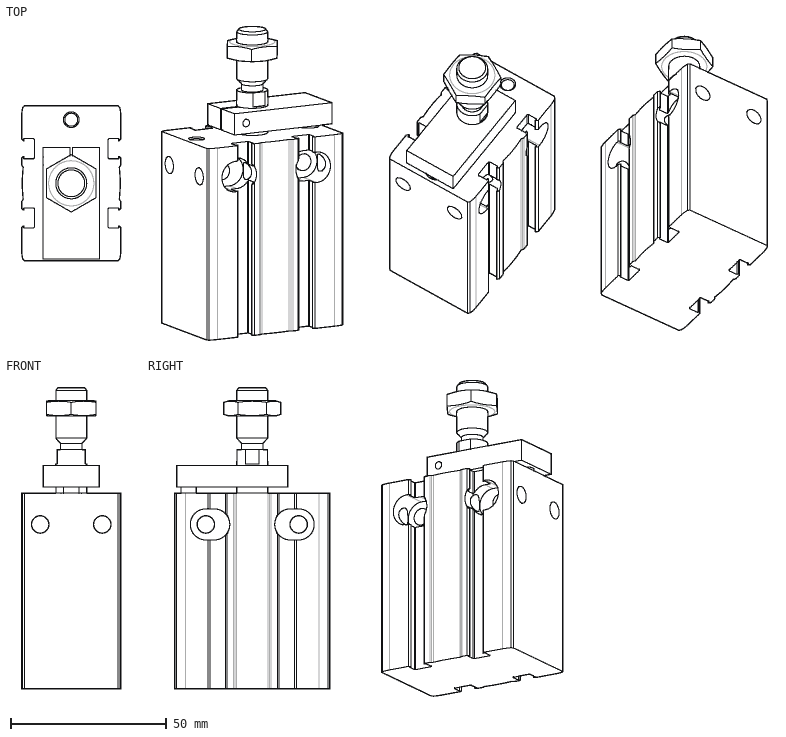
import cadquery as cq
import math

HOUSING_WIDTH = 32.0
HOUSING_DEPTH = 50.0
HOUSING_HEIGHT = 63.05
CORNER_CHAMFER = 0.6
FLANK_LENGTH = 3.5
FLANK_SETBACK = 0.4

SENSOR_SLOT_Y = 11.2
SENSOR_SLOT_WIDTH = 6.4
SENSOR_SLOT_MOUTH = 5.0
SENSOR_SLOT_DEPTH = 4.2
SENSOR_SLOT_LIP = 0.8
LIP_CHAMFER = 0.6
POCKET_CHAMFER = 0.3

PANEL_STEP_OUTER_Y = 6.1
PANEL_STEP_INNER_Y = 5.0
PANEL_EDGE_RECESS = 0.5
PANEL_CROWN_RECESS = 0.2

MOUNT_HOLE_DIAMETER = 5.5
MOUNT_HOLE_Z = 53.0
CROSS_HOLE_Y = 14.9
LENGTH_HOLE_X = 10.0
COUNTERBORE_DIAMETER = 10.0
COUNTERBORE_STRETCH = 2.7
COUNTERBORE_DEPTH = 9.0

PORT_DIAMETER = 4.2
PORT_MOUTH_DIAMETER = 5.0
PORT_DEPTH = 7.8
PORT_TIP_ANGLE = 118.0
GUIDE_OFFSET = 20.5

ROD_DIAMETER = 10.0
ROD_TOP = 97.0
ROD_TIP_DIAMETER = 8.6
ROD_TIP_CHAMFER = 0.9
NECK_DIAMETER = 7.0
NECK_BOTTOM = 77.0
NECK_TOP = 79.1
NECK_CONE_TOP = 80.7
WRENCH_FLAT_WIDTH = 9.0
WRENCH_FLAT_BOTTOM = 72.5

NUT_ACROSS_FLATS = 16.0
NUT_BOTTOM = 87.8
NUT_THICKNESS = 5.0
NUT_FACE_DIAMETER = 14.55
NUT_CHAMFER_HEIGHT = 0.6

PLATE_WIDTH = 18.0
PLATE_BACK_Y = 11.4
PLATE_FRONT_Y = -24.3
PLATE_BOTTOM = 65.0
PLATE_TOP = 72.0
CLAMP_SLIT = 0.9
CLAMP_HOLE_DIAMETER = 2.4
CLAMP_HOLE_Y = 7.2

GUIDE_PIN_DIAMETER = 5.0
PIN_SEAT_DIAMETER = 7.0
PIN_SEAT_DEPTH = 1.0


def straight_edges(points):
    """Straight edges joining a list of XY points in order."""
    return [
        cq.Edge.makeLine(cq.Vector(*start), cq.Vector(*end))
        for start, end in zip(points, points[1:])
    ]


def housing_quarter():
    """The +X, +Y quarter of the extrusion, outlined from the crown of the panel round to the rear."""
    side = HOUSING_WIDTH / 2
    back = HOUSING_DEPTH / 2
    mouth = SENSOR_SLOT_MOUTH / 2
    pocket = SENSOR_SLOT_WIDTH / 2
    lip = side - SENSOR_SLOT_LIP
    floor = side - SENSOR_SLOT_DEPTH
    panel_edge = (side - PANEL_EDGE_RECESS, PANEL_STEP_INNER_Y)
    step_middle = (side - PANEL_EDGE_RECESS / 2, (PANEL_STEP_INNER_Y + PANEL_STEP_OUTER_Y) / 2)
    flank_start = (side, back - FLANK_LENGTH)
    flank_end = (side - FLANK_SETBACK, back - CORNER_CHAMFER)

    slot_half = [
        (side, mouth + LIP_CHAMFER),
        (side - LIP_CHAMFER, mouth),
        (lip, mouth),
        (lip, pocket),
        (floor + POCKET_CHAMFER, pocket),
        (floor, pocket - POCKET_CHAMFER),
    ]
    slot_near = [(x, SENSOR_SLOT_Y - offset) for x, offset in slot_half]
    slot_far = [(x, SENSOR_SLOT_Y + offset) for x, offset in reversed(slot_half)]

    along_y = cq.Vector(0, 1, 0)
    panel = cq.Edge.makeTangentArc(
        cq.Vector(side - PANEL_CROWN_RECESS, 0), along_y, cq.Vector(*panel_edge))
    step_root = cq.Edge.makeTangentArc(cq.Vector(*panel_edge), along_y, cq.Vector(*step_middle))
    step_shoulder = cq.Edge.makeTangentArc(
        cq.Vector(*step_middle), step_root.tangentAt(1), cq.Vector(side, PANEL_STEP_OUTER_Y))
    flank = cq.Edge.makeTangentArc(cq.Vector(*flank_start), along_y, cq.Vector(*flank_end))

    slot_path = [(side, PANEL_STEP_OUTER_Y), *slot_near, *slot_far, flank_start]
    rear_path = [
        flank_end,
        (flank_end[0] - CORNER_CHAMFER, back),
        (0, back),
        (0, 0),
        (side - PANEL_CROWN_RECESS, 0),
    ]
    edges = [panel, step_root, step_shoulder, *straight_edges(slot_path), flank, *straight_edges(rear_path)]
    outline = cq.Wire.assembleEdges(edges)
    return cq.Workplane("XY").add(outline).toPending().extrude(HOUSING_HEIGHT)


def housing_extrusion():
    """The quarter mirrored into a full symmetric extrusion."""
    quarter = housing_quarter()
    half = quarter.union(quarter.mirror("YZ"))
    return half.union(half.mirror("XZ")).clean()


def cross_mount_holes():
    """Two through holes along X with elongated counterbores on both sides."""
    holes = (
        cq.Workplane("YZ", origin=(-HOUSING_WIDTH / 2, 0, MOUNT_HOLE_Z))
        .pushPoints([(-CROSS_HOLE_Y, 0), (CROSS_HOLE_Y, 0)])
        .circle(MOUNT_HOLE_DIAMETER / 2)
        .extrude(HOUSING_WIDTH)
    )
    counterbore_y = CROSS_HOLE_Y - COUNTERBORE_STRETCH / 2
    for start_x in (-HOUSING_WIDTH / 2, HOUSING_WIDTH / 2 - COUNTERBORE_DEPTH):
        holes = holes.union(
            cq.Workplane("YZ", origin=(start_x, 0, MOUNT_HOLE_Z))
            .pushPoints([(-counterbore_y, 0), (counterbore_y, 0)])
            .slot2D(COUNTERBORE_DIAMETER + COUNTERBORE_STRETCH, COUNTERBORE_DIAMETER)
            .extrude(COUNTERBORE_DEPTH)
        )
    return holes


def length_mount_holes():
    """Two plain through holes along Y."""
    return (
        cq.Workplane("XZ", origin=(0, HOUSING_DEPTH / 2, MOUNT_HOLE_Z))
        .pushPoints([(-LENGTH_HOLE_X, 0), (LENGTH_HOLE_X, 0)])
        .circle(MOUNT_HOLE_DIAMETER / 2)
        .extrude(HOUSING_DEPTH)
    )


def port():
    """Drilled hole in the top face with a chamfered mouth and a conical bottom."""
    radius = PORT_DIAMETER / 2
    mouth_radius = PORT_MOUTH_DIAMETER / 2
    chamfer = mouth_radius - radius
    tip = radius / math.tan(math.radians(PORT_TIP_ANGLE / 2))
    return (
        cq.Workplane("XZ")
        .polyline([
            (0, 0),
            (mouth_radius, 0),
            (radius, -chamfer),
            (radius, -PORT_DEPTH),
            (0, -PORT_DEPTH - tip),
        ])
        .close()
        .revolve(360, (0, 0), (0, 1))
        .translate((0, GUIDE_OFFSET, HOUSING_HEIGHT))
    )


def guide_pin_seat():
    """Countersunk seat in the top face that the guide pin stands in."""
    return (
        cq.Workplane("XZ")
        .polyline([
            (0, 0),
            (PIN_SEAT_DIAMETER / 2, 0),
            (GUIDE_PIN_DIAMETER / 2, -PIN_SEAT_DEPTH),
            (0, -PIN_SEAT_DEPTH),
        ])
        .close()
        .revolve(360, (0, 0), (0, 1))
        .translate((0, -GUIDE_OFFSET, HOUSING_HEIGHT))
    )


def make_housing():
    body = housing_extrusion()
    for feature in (cross_mount_holes(), length_mount_holes(), port(), guide_pin_seat()):
        body = body.cut(feature)
    return body


def make_rod():
    """Stepped rod standing on the housing, with a necked groove and two wrench flats."""
    radius = ROD_DIAMETER / 2
    neck_radius = NECK_DIAMETER / 2
    rod = (
        cq.Workplane("XZ")
        .polyline([
            (0, HOUSING_HEIGHT),
            (radius, HOUSING_HEIGHT),
            (radius, NECK_BOTTOM),
            (neck_radius, NECK_BOTTOM),
            (neck_radius, NECK_TOP),
            (radius, NECK_CONE_TOP),
            (radius, ROD_TOP - ROD_TIP_CHAMFER),
            (ROD_TIP_DIAMETER / 2, ROD_TOP),
            (0, ROD_TOP),
        ])
        .close()
        .revolve(360, (0, 0), (0, 1))
    )
    flat_height = NECK_BOTTOM - WRENCH_FLAT_BOTTOM
    for side in (-1, 1):
        waste = (
            cq.Workplane("XY", origin=(side * (WRENCH_FLAT_WIDTH + ROD_DIAMETER) / 2, 0, WRENCH_FLAT_BOTTOM))
            .rect(ROD_DIAMETER, ROD_DIAMETER)
            .extrude(flat_height)
        )
        rod = rod.cut(waste)
    return rod


def make_nut():
    """Hexagon nut with corners pointing along Y, both faces coned down to a round land."""
    corner_radius = NUT_ACROSS_FLATS / math.sqrt(3)
    land_radius = NUT_FACE_DIAMETER / 2
    hexagon = (
        cq.Workplane("XY")
        .polygon(6, 2 * corner_radius)
        .extrude(NUT_THICKNESS)
        .rotate((0, 0, 0), (0, 0, 1), 30)
    )
    coned_blank = (
        cq.Workplane("XZ")
        .polyline([
            (ROD_DIAMETER / 2, 0),
            (land_radius, 0),
            (corner_radius, NUT_CHAMFER_HEIGHT),
            (corner_radius, NUT_THICKNESS - NUT_CHAMFER_HEIGHT),
            (land_radius, NUT_THICKNESS),
            (ROD_DIAMETER / 2, NUT_THICKNESS),
        ])
        .close()
        .revolve(360, (0, 0), (0, 1))
    )
    return hexagon.intersect(coned_blank).translate((0, 0, NUT_BOTTOM))


def make_plate():
    """Plate clamped round the rod, split at the rear by a slit and drilled for a clamp screw."""
    thickness = PLATE_TOP - PLATE_BOTTOM
    length = PLATE_BACK_Y - PLATE_FRONT_Y
    base = cq.Workplane("XY", origin=(0, 0, PLATE_BOTTOM))
    block = base.center(0, (PLATE_BACK_Y + PLATE_FRONT_Y) / 2).rect(PLATE_WIDTH, length).extrude(thickness)
    rod_hole = base.circle(ROD_DIAMETER / 2).extrude(thickness)
    slit = base.center(0, PLATE_BACK_Y / 2).rect(CLAMP_SLIT, PLATE_BACK_Y).extrude(thickness)
    screw_hole = (
        cq.Workplane("YZ", origin=(-PLATE_WIDTH / 2, CLAMP_HOLE_Y, (PLATE_BOTTOM + PLATE_TOP) / 2))
        .circle(CLAMP_HOLE_DIAMETER / 2)
        .extrude(PLATE_WIDTH / 2)
    )
    return block.cut(rod_hole).cut(slit).cut(screw_hole)


def make_guide_pin():
    """Pin from the bottom of its seat in the housing up to the plate."""
    bottom = HOUSING_HEIGHT - PIN_SEAT_DEPTH
    return (
        cq.Workplane("XY", origin=(0, -GUIDE_OFFSET, bottom))
        .circle(GUIDE_PIN_DIAMETER / 2)
        .extrude(PLATE_BOTTOM - bottom)
    )


housing = make_housing()
rod = make_rod()
nut = make_nut()
plate = make_plate()
guide_pin = make_guide_pin()

result = cq.Compound.makeCompound([
    housing.val(),
    rod.val(),
    nut.val(),
    plate.val(),
    guide_pin.val(),
])